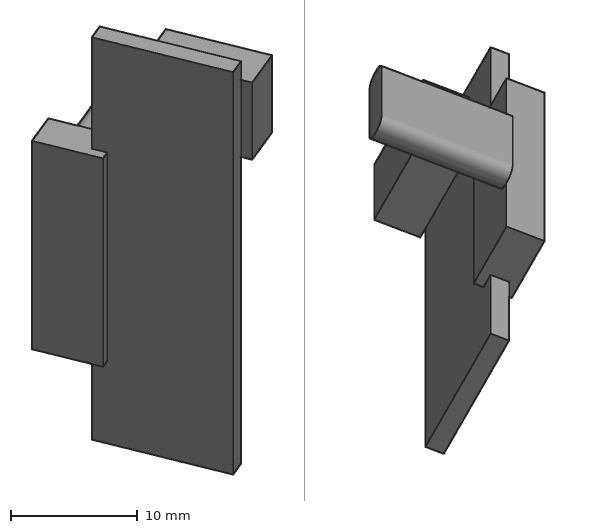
import cadquery as cq

board_width = 12.1
board_thickness = 1.6
board_height = 39.0

block_width = 6.1
block_depth = 3.3
block_height = 20.2
block_overhang = 4.75
block_bottom = 8.0

tongue_width = 2.3
tongue_length = 11.4
tongue_height = 8.3
tongue_edge_radius = 0.98

connector_width = 9.1
connector_depth = 4.0
connector_height = 7.5
connector_top_gap = 1.8

total_width = 18.95


def corner_box(width, depth, height, corner):
    """Box whose left, front, bottom corner is at the given point."""
    return cq.Workplane("XY").box(width, depth, height, centered=False).translate(corner)


block_left = -block_overhang
block_front = (board_thickness - block_depth) / 2
block_back = block_front + block_depth
block_middle = block_bottom + block_height / 2

tongue_left = block_left - tongue_width / 2
tongue_bottom = block_middle - tongue_height / 2

connector_left = tongue_left + total_width - connector_width
connector_bottom = board_height - connector_top_gap - connector_height

board = corner_box(board_width, board_thickness, board_height, (0, 0, 0))
block = corner_box(
    block_width, block_depth, block_height, (block_left, block_front, block_bottom)
)
tongue = corner_box(
    tongue_width, tongue_length, tongue_height, (tongue_left, block_back, tongue_bottom)
).edges("|Y").fillet(tongue_edge_radius)
connector = corner_box(
    connector_width,
    connector_depth,
    connector_height,
    (connector_left, board_thickness, connector_bottom),
)

result = board.union(block).union(tongue).union(connector)